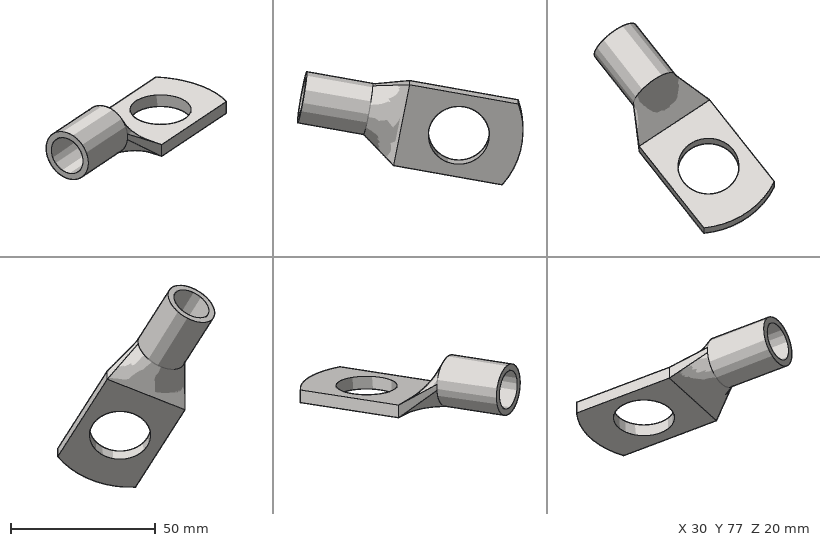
import cadquery as cq
import math

length = 77.0

palm_width = 30.0
palm_thickness = 4.6
tip_rise = 4.0
hole_diameter = 21.0
hole_from_tip = 22.0

barrel_diameter = 18.0
bore_diameter = 13.5
barrel_length = 23.1
overall_height = 20.0

neck_length = 11.8
corner_angle = 7.0
arch_height = 10.2

barrel_end_y = barrel_length
palm_start_y = barrel_end_y + neck_length
barrel_axis_z = overall_height - barrel_diameter / 2


def section_plane(y, z):
    """Plane across the part, facing +Y, with its local Y along +Z."""
    return cq.Plane(origin=(0, y, z), xDir=(-1, 0, 0), normal=(0, 1, 0))


def make_palm():
    half_width = palm_width / 2
    shoulder_y = length - tip_rise
    blank = (
        cq.Workplane("XY")
        .moveTo(-half_width, palm_start_y)
        .lineTo(half_width, palm_start_y)
        .lineTo(half_width, shoulder_y)
        .threePointArc((0, length), (-half_width, shoulder_y))
        .close()
        .extrude(palm_thickness)
    )
    hole = (
        cq.Workplane("XY")
        .center(0, length - hole_from_tip)
        .circle(hole_diameter / 2)
        .extrude(palm_thickness)
    )
    return blank.cut(hole)


def make_barrel():
    return cq.Workplane(section_plane(0, barrel_axis_z)).circle(barrel_diameter / 2).extrude(barrel_length)


def barrel_point(angle):
    """Point on the inner end of the barrel rim, at an angle in degrees up from +X."""
    radius = barrel_diameter / 2
    turn = math.radians(angle)
    return cq.Vector(radius * math.cos(turn), barrel_end_y, barrel_axis_z + radius * math.sin(turn))


def make_neck():
    """Blend from the round barrel to the rectangular palm, with a concave top."""
    half_width = palm_width / 2
    corners = [
        cq.Vector(half_width, palm_start_y, 0),
        cq.Vector(half_width, palm_start_y, palm_thickness),
        cq.Vector(-half_width, palm_start_y, palm_thickness),
        cq.Vector(-half_width, palm_start_y, 0),
    ]
    angles = [-corner_angle, corner_angle, 180 - corner_angle, 180 + corner_angle, 360 - corner_angle]
    arcs = []
    lines = []
    ridges = []
    for i, corner in enumerate(corners):
        start, end = angles[i], angles[i + 1]
        arcs.append(
            cq.Edge.makeThreePointArc(barrel_point(start), barrel_point((start + end) / 2), barrel_point(end))
        )
        lines.append(cq.Edge.makeLine(corner, corners[(i + 1) % len(corners)]))
        ridges.append(cq.Edge.makeLine(barrel_point(start), corner))

    arch_crown = cq.Vector(0, (barrel_end_y + palm_start_y) / 2, arch_height)
    arch = cq.Edge.makeThreePointArc(ridges[1].positionAt(0.5), arch_crown, ridges[2].positionAt(0.5))
    profiles = [cq.Wire.assembleEdges([edge]) for edge in (arcs[1], arch, lines[1])]
    top = cq.occ_impl.shapes.loft(profiles).Faces()[0]
    right_side, left_side, bottom = (cq.Face.makeRuledSurface(arcs[i], lines[i]) for i in (0, 2, 3))
    barrel_end = cq.Face.makeFromWires(cq.Wire.assembleEdges(arcs))
    palm_end = cq.Face.makeFromWires(cq.Wire.assembleEdges(lines))
    shell = cq.Shell.makeShell([right_side, top, left_side, bottom, barrel_end, palm_end])
    return cq.Workplane(cq.Solid.makeSolid(shell).fix())


def make_bore():
    """Blind wire bore, as deep as the barrel is long."""
    return cq.Workplane(section_plane(0, barrel_axis_z)).circle(bore_diameter / 2).extrude(barrel_length)


result = make_palm().union(make_neck()).union(make_barrel()).cut(make_bore()).solids()